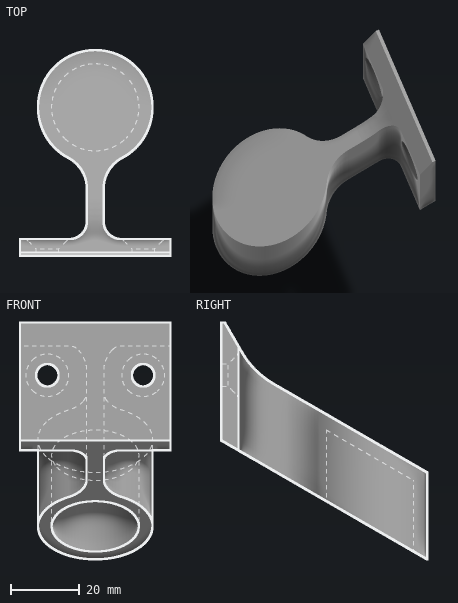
import cadquery as cq
import math

width = 44.0
depth = 60.2
height = 69.3

plate_thickness = 5.0
web_thickness = 5.0
plate_fillet = 5.0
head_radius = 16.75
neck_fillet = 10.0

slope = math.tan(math.radians(30))
tip_slope = math.tan(math.radians(60))
tip_flat = 1.05
back_height = 25.4
bend_radius = 25.0

bore_radius = 12.75
roof_height = 4.65
hole_diameter = 6.5
sink_diameter = 12.5
sink_depth = 3.0
hole_spacing = 28.0
hole_z = 53.8

half_web = web_thickness / 2
head_y = depth - head_radius


def side_prism(points):
    """Extrude a Y-Z outline across the full width, centred on X."""
    return cq.Workplane("YZ").polyline(points).close().extrude(width / 2, both=True)


def make_plan_body():
    plate = cq.Workplane("XY").box(width, plate_thickness, height, centered=(True, False, False))
    head = cq.Workplane("XY").center(0, head_y).circle(head_radius).extrude(height)

    arc_x = half_web + neck_fillet
    arc_y = head_y - math.sqrt((head_radius + neck_fillet) ** 2 - arc_x**2)
    angle_to_head = math.atan2(head_y - arc_y, -arc_x)
    middle_angle = (math.pi + angle_to_head) / 2

    def neck_point(angle, side):
        x = arc_x + neck_fillet * math.cos(angle)
        y = arc_y + neck_fillet * math.sin(angle)
        return (side * x, y)

    web = (
        cq.Workplane("XY")
        .moveTo(-half_web, 0)
        .lineTo(half_web, 0)
        .lineTo(half_web, arc_y)
        .threePointArc(neck_point(middle_angle, 1), neck_point(angle_to_head, 1))
        .lineTo(0, head_y)
        .lineTo(*neck_point(angle_to_head, -1))
        .threePointArc(neck_point(middle_angle, -1), (-half_web, arc_y))
        .close()
        .extrude(height)
    )

    inside_corners = cq.selectors.BoxSelector(
        (-half_web - 0.7, plate_thickness - 0.7, 0),
        (half_web + 0.7, plate_thickness + 0.7, height),
    )
    return plate.union(web).union(head).edges("|Z").edges(inside_corners).fillet(plate_fillet)


def make_side_body():
    upper_at_face = back_height + depth * slope
    tip_at_face = height + tip_flat * tip_slope
    bend_y = (tip_at_face - upper_at_face) / (tip_slope - slope)
    bend_z = upper_at_face - bend_y * slope
    body = side_prism(
        [
            (0, depth * slope),
            (depth, 0),
            (depth, back_height),
            (bend_y, bend_z),
            (tip_flat, height),
            (0, height),
        ]
    )
    bend = cq.selectors.NearestToPointSelector((0, bend_y, bend_z))
    return body.edges("|X").edges(bend).fillet(bend_radius)


def make_bore():
    roof_at_back = back_height - roof_height
    below_roof = side_prism(
        [
            (0, 0),
            (depth, 0),
            (depth, roof_at_back),
            (0, roof_at_back + depth * slope),
        ]
    )
    bore = cq.Workplane("XY").center(0, head_y).circle(bore_radius).extrude(height)
    return bore.intersect(below_roof)


def make_screw_hole(x):
    hole = (
        cq.Workplane("XZ")
        .center(x, hole_z)
        .circle(hole_diameter / 2)
        .extrude(-plate_thickness)
    )
    countersink = cq.Solid.makeCone(
        sink_diameter / 2,
        hole_diameter / 2,
        sink_depth,
        pnt=cq.Vector(x, plate_thickness, hole_z),
        dir=cq.Vector(0, -1, 0),
    )
    return hole.union(cq.Workplane(obj=countersink))


result = make_plan_body().intersect(make_side_body()).cut(make_bore())
for hole_x in (-hole_spacing / 2, hole_spacing / 2):
    result = result.cut(make_screw_hole(hole_x))